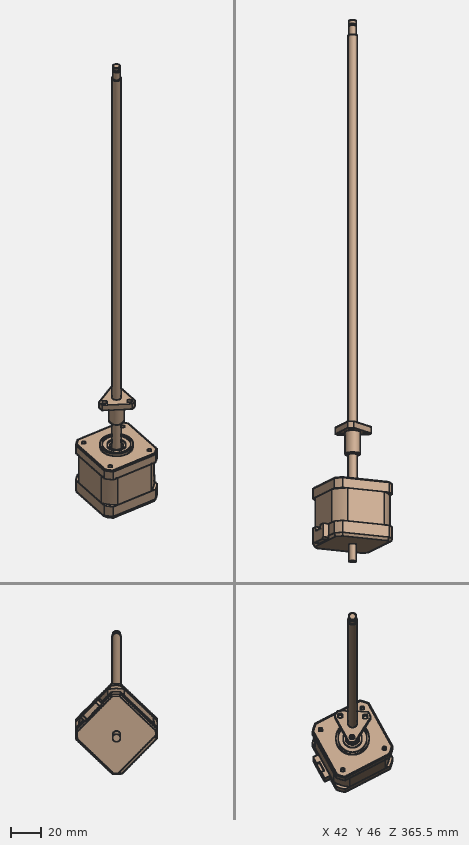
import cadquery as cq

TOTAL_LENGTH = 365.5
MOTOR_BOTTOM = 11.5
MOTOR_HEIGHT = 40.0
REAR_COVER_HEIGHT = 10.2
FRONT_COVER_HEIGHT = 7.3
MOTOR_TOP = MOTOR_BOTTOM + MOTOR_HEIGHT
STATOR_BOTTOM = MOTOR_BOTTOM + REAR_COVER_HEIGHT
STATOR_TOP = MOTOR_TOP - FRONT_COVER_HEIGHT
STATOR_HEIGHT = STATOR_TOP - STATOR_BOTTOM

MOTOR_WIDTH = 42.0
COVER_CORNER_DIAMETER = 53.8
STATOR_CORNER_DIAMETER = 49.7

REAR_TAPER_HEIGHT = 2.2
REAR_TAPER_INSET = 1.0

FRONT_CHAMFER = 0.7
PILOT_DIAMETER = 22.0
PILOT_HEIGHT = 2.0
PILOT_RECESS_DIAMETER = 19.0
PILOT_RECESS_DEPTH = 0.7
BEARING_RECESS_DIAMETER = 12.5
BEARING_RECESS_DEPTH = 1.5
SCREW_CLEARANCE_DIAMETER = 8.8
MOUNT_PITCH = 31.0
MOUNT_HOLE_DIAMETER = 2.5
MOUNT_HOLE_DEPTH = 4.5

SCREW_DIAMETER = 6.2
SHAFT_DIAMETER = 5.0
JOURNAL_LENGTH = 10.0
SHOULDER_CHAMFER = 0.45
TIP_CHAMFER = 0.5
RING_GROOVE_DIAMETER = 4.5
RING_GROOVE_WIDTH = 1.0
RING_GROOVE_FROM_TIP = 2.5

NUT_BOTTOM = 72.0
BARREL_DIAMETER = 10.2
BARREL_LENGTH = 15.5
BARREL_CHAMFER = 0.7
FLANGE_THICKNESS = 4.5
FLANGE_BOTTOM = NUT_BOTTOM + BARREL_LENGTH
FLANGE_CORNER_RADIUS = 12.8
FLANGE_FLAT_DISTANCE = 8.0
FLANGE_HOLE_COUNT = 3
FLANGE_HOLE_CIRCLE_RADIUS = 9.5
FLANGE_HOLE_DIAMETER = 3.3

CONNECTOR_WIDTH = 16.5
CONNECTOR_DEPTH = 4.0
CONNECTOR_NOTCH_WIDTH = 6.5
CONNECTOR_NOTCH_DEPTH = 2.2
CONNECTOR_NOTCH_HEIGHT = 2.5


def at_height(z):
    return cq.Workplane("XY").workplane(offset=z)


def cylinder(diameter, bottom, height):
    return at_height(bottom).circle(diameter / 2).extrude(height)


def motor_section(corner_diameter, bottom, height):
    """Square prism with its upright corners turned to a circle."""
    square = at_height(bottom).rect(MOTOR_WIDTH, MOTOR_WIDTH).extrude(height)
    return square.intersect(cylinder(corner_diameter, bottom, height))


def make_rear_cover():
    cover = motor_section(COVER_CORNER_DIAMETER, MOTOR_BOTTOM, REAR_COVER_HEIGHT)
    cover = cover.faces("<Z").chamfer(REAR_TAPER_INSET, REAR_TAPER_HEIGHT)
    return cover.cut(cylinder(SHAFT_DIAMETER, MOTOR_BOTTOM, REAR_COVER_HEIGHT))


def make_stator():
    stator = motor_section(STATOR_CORNER_DIAMETER, STATOR_BOTTOM, STATOR_HEIGHT)
    return stator.cut(cylinder(SCREW_DIAMETER, STATOR_BOTTOM, STATOR_HEIGHT))


def make_mount_holes():
    """Four blind screw holes, as one cutting tool."""
    corners = at_height(MOTOR_TOP).rect(MOUNT_PITCH, MOUNT_PITCH, forConstruction=True).vertices()
    return corners.circle(MOUNT_HOLE_DIAMETER / 2).extrude(-MOUNT_HOLE_DEPTH)


def make_front_cover():
    cover = motor_section(COVER_CORNER_DIAMETER, STATOR_TOP, FRONT_COVER_HEIGHT)
    cover = cover.faces(">Z").chamfer(FRONT_CHAMFER)
    cover = cover.union(cylinder(PILOT_DIAMETER, MOTOR_TOP, PILOT_HEIGHT))
    pilot_top = MOTOR_TOP + PILOT_HEIGHT
    cover = cover.cut(cylinder(PILOT_RECESS_DIAMETER, pilot_top, -PILOT_RECESS_DEPTH))
    cover = cover.cut(cylinder(BEARING_RECESS_DIAMETER, pilot_top, -BEARING_RECESS_DEPTH))
    cover = cover.cut(cylinder(SCREW_CLEARANCE_DIAMETER, pilot_top, STATOR_TOP - pilot_top))
    return cover.cut(make_mount_holes())


def make_connector():
    """Block against the rear cover, tapered at its foot and notched at its outer top edge."""
    motor_side = MOTOR_WIDTH / 2
    outer_side = motor_side + CONNECTOR_DEPTH
    block = (
        at_height(MOTOR_BOTTOM)
        .center(0, motor_side + CONNECTOR_DEPTH / 2)
        .rect(CONNECTOR_WIDTH, CONNECTOR_DEPTH)
        .extrude(REAR_COVER_HEIGHT)
    )
    block = block.faces("<Z").edges("|Y").chamfer(REAR_TAPER_INSET, REAR_TAPER_HEIGHT)
    notch = (
        at_height(STATOR_BOTTOM)
        .center(0, outer_side - CONNECTOR_NOTCH_DEPTH / 2)
        .rect(CONNECTOR_NOTCH_WIDTH, CONNECTOR_NOTCH_DEPTH)
        .extrude(-CONNECTOR_NOTCH_HEIGHT)
    )
    return block.cut(notch)


def make_screw():
    """Rear shaft, screw and end journal in one piece, with a retaining-ring groove near the tip."""
    shoulder = TOTAL_LENGTH - JOURNAL_LENGTH
    screw = cylinder(SCREW_DIAMETER, STATOR_BOTTOM, shoulder - STATOR_BOTTOM)
    screw = screw.faces(">Z").chamfer(SHOULDER_CHAMFER)
    shaft = cylinder(SHAFT_DIAMETER, 0, TOTAL_LENGTH).faces(">Z").chamfer(TIP_CHAMFER)
    screw = screw.union(shaft)
    groove_top = TOTAL_LENGTH - RING_GROOVE_FROM_TIP
    groove = cylinder(SHAFT_DIAMETER, groove_top, -RING_GROOVE_WIDTH)
    groove = groove.cut(cylinder(RING_GROOVE_DIAMETER, groove_top, -RING_GROOVE_WIDTH))
    return screw.cut(groove)


def make_nut():
    barrel = cylinder(BARREL_DIAMETER, NUT_BOTTOM, BARREL_LENGTH)
    barrel = barrel.faces("<Z").chamfer(BARREL_CHAMFER)
    triangle_diameter = 4 * FLANGE_FLAT_DISTANCE
    triangle = (
        at_height(FLANGE_BOTTOM)
        .transformed(rotate=(0, 0, -90))
        .polygon(3, triangle_diameter)
        .extrude(FLANGE_THICKNESS)
    )
    flange = triangle.intersect(cylinder(2 * FLANGE_CORNER_RADIUS, FLANGE_BOTTOM, FLANGE_THICKNESS))
    holes = (
        at_height(FLANGE_BOTTOM)
        .polarArray(FLANGE_HOLE_CIRCLE_RADIUS, -90, 360, FLANGE_HOLE_COUNT)
        .circle(FLANGE_HOLE_DIAMETER / 2)
        .extrude(FLANGE_THICKNESS)
    )
    bore = cylinder(SCREW_DIAMETER, NUT_BOTTOM, BARREL_LENGTH + FLANGE_THICKNESS)
    return barrel.union(flange).cut(holes).cut(bore)


rear_cover = make_rear_cover()
stator = make_stator()
front_cover = make_front_cover()
connector = make_connector()
screw = make_screw()
nut = make_nut()

result = cq.Compound.makeCompound(
    [rear_cover.val(), stator.val(), front_cover.val(), connector.val(), screw.val(), nut.val()]
)